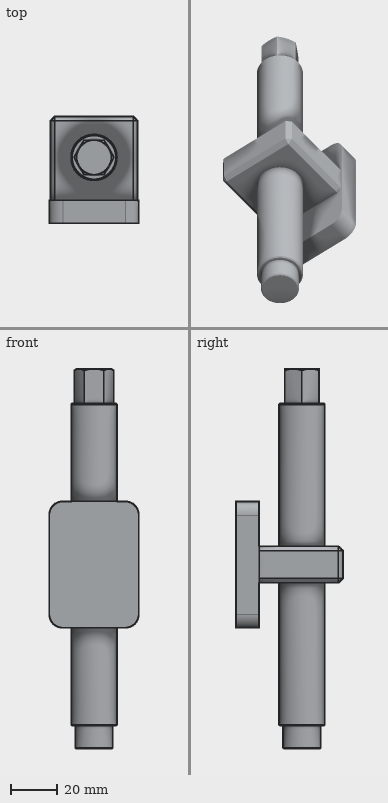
import cadquery as cq
import math

ROD_DIAMETER = 20.0
ROD_LENGTH = 140.0
ROD_CHAMFER = 0.5
STUB_DIAMETER = 16.5
STUB_LENGTH = 10.0
STUB_CHAMFER = 0.5
HEX_ACROSS_FLATS = 15.0
HEX_LENGTH = 15.0
HEX_SIDES = 6
HEX_CHAMFER_ANGLE = 30.0

PLATE_WIDTH = 39.0
PLATE_HEIGHT = 55.0
PLATE_THICKNESS = 10.0
PLATE_CORNER_RADIUS = 6.0
PLATE_FACE_TO_AXIS = 28.65

BLOCK_WIDTH = 38.0
BLOCK_HEIGHT = 16.0
BLOCK_LENGTH = 36.5
BLOCK_CHAMFER = 2.0

ROD_TOP = ROD_LENGTH / 2
ROD_BOTTOM = -ROD_LENGTH / 2
PLATE_FRONT_Y = -PLATE_FACE_TO_AXIS
PLATE_BACK_Y = PLATE_FRONT_Y + PLATE_THICKNESS


def make_rod():
    rod = cq.Workplane("XY").workplane(offset=ROD_BOTTOM).circle(ROD_DIAMETER / 2).extrude(ROD_LENGTH)
    return rod.faces("<Z or >Z").edges().chamfer(ROD_CHAMFER)


def make_stub():
    stub = cq.Workplane("XY").workplane(offset=ROD_BOTTOM).circle(STUB_DIAMETER / 2).extrude(-STUB_LENGTH)
    return stub.faces("<Z").edges().chamfer(STUB_CHAMFER)


def make_hex_end():
    """Hexagon with corners on the X axis, its top corners turned off by a cone."""
    corner_diameter = HEX_ACROSS_FLATS / math.cos(math.pi / HEX_SIDES)
    corner_radius = corner_diameter / 2
    top_radius = HEX_ACROSS_FLATS / 2
    chamfer_drop = (corner_radius - top_radius) * math.tan(math.radians(HEX_CHAMFER_ANGLE))
    hexagon = cq.Workplane("XY").workplane(offset=ROD_TOP).polygon(HEX_SIDES, corner_diameter)
    hexagon = hexagon.extrude(HEX_LENGTH)
    envelope = (
        cq.Workplane("XZ")
        .moveTo(0, ROD_TOP)
        .lineTo(corner_radius, ROD_TOP)
        .lineTo(corner_radius, ROD_TOP + HEX_LENGTH - chamfer_drop)
        .lineTo(top_radius, ROD_TOP + HEX_LENGTH)
        .lineTo(0, ROD_TOP + HEX_LENGTH)
        .close()
        .revolve(360, (0, 0, 0), (0, 1, 0))
    )
    return hexagon.intersect(envelope)


def make_plate():
    plate = cq.Workplane("XY").box(PLATE_WIDTH, PLATE_THICKNESS, PLATE_HEIGHT)
    plate = plate.edges("|Y").fillet(PLATE_CORNER_RADIUS)
    return plate.translate((0, PLATE_FRONT_Y + PLATE_THICKNESS / 2, 0))


def make_block():
    """Block behind the plate, chamfered along its length and around its free end."""
    block = cq.Workplane("XY").box(BLOCK_WIDTH, BLOCK_LENGTH, BLOCK_HEIGHT)
    block = block.edges("|Y or >Y").chamfer(BLOCK_CHAMFER)
    return block.translate((0, PLATE_BACK_Y + BLOCK_LENGTH / 2, 0))


result = make_rod().union(make_stub()).union(make_hex_end()).union(make_block()).union(make_plate())